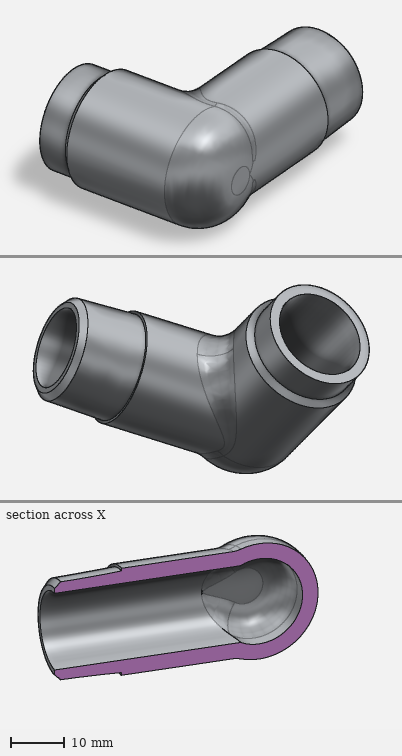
import cadquery as cq
import math


arm_diameter = 23.7
arm_length = 39.0
collar_diameter = 21.3
collar_length = 6.0
dome_edge_radius = 9.0

branch_diameter = 22.0
shoulder_y = 27.6
branch_end_y = 41.0
spigot_root_diameter = 20.9
spigot_taper = 1 / 16
spigot_chamfer = 1.2
crotch_radius = 5.0

arm_bore_diameter = 17.3
branch_bore_diameter = 15.59
floor_radius = 5.0

blend_end_x = 38.8
zone_span = 100.0
length_tolerance = 0.001
overlap = 0.5
fade_start_angle = math.radians(3)
fade_steps = 6

arm_radius = arm_diameter / 2
collar_radius = collar_diameter / 2
collar_chamfer = arm_radius - collar_radius
branch_radius = branch_diameter / 2
branch_x = arm_length - branch_radius
arm_bore_radius = arm_bore_diameter / 2
branch_bore_radius = branch_bore_diameter / 2
floor_x = branch_x + branch_bore_radius


def make_arm():
    """Collar, chamfer, barrel and domed end, revolved about the X axis."""
    dome_start = arm_length - dome_edge_radius
    flat_radius = arm_radius - dome_edge_radius
    return (
        cq.Workplane("XY")
        .lineTo(0, collar_radius)
        .lineTo(collar_length, collar_radius)
        .lineTo(collar_length + collar_chamfer, arm_radius)
        .lineTo(dome_start, arm_radius)
        .radiusArc((arm_length, flat_radius), dome_edge_radius)
        .lineTo(arm_length, 0)
        .close()
        .revolve(360, (0, 0, 0), (1, 0, 0))
    )


def make_branch():
    """Plain cylinder with a tapered, chamfered spigot, revolved about its axis along Y."""
    chamfer_y = branch_end_y - spigot_chamfer
    root_radius = spigot_root_diameter / 2
    chamfer_radius = root_radius - (chamfer_y - shoulder_y) * spigot_taper / 2
    return (
        cq.Workplane("XY", origin=(branch_x, 0, 0))
        .lineTo(branch_radius, 0)
        .lineTo(branch_radius, shoulder_y)
        .lineTo(root_radius, shoulder_y)
        .lineTo(chamfer_radius, chamfer_y)
        .lineTo(chamfer_radius - spigot_chamfer, branch_end_y)
        .lineTo(0, branch_end_y)
        .close()
        .revolve(360, (0, 0, 0), (0, 1, 0))
    )


def make_body():
    """Arm and branch joined, with their intersection blended by a constant-radius fillet.

    The branch is tangent to the flat of the dome, so the fillet fades out there.
    It is stopped just short of that point by splitting the body at blend_end_x.
    """
    sharp_body = make_arm().union(make_branch())
    blend_zone = cq.Workplane("XY").box(
        blend_end_x, zone_span, zone_span, centered=(False, True, True)
    )
    tip = sharp_body.cut(blend_zone)
    main = sharp_body.intersect(blend_zone).val()
    junction_edges = [
        edge
        for edge in main.Edges()
        if edge.geomType() == "BSPLINE" and edge.BoundingBox().xlen > length_tolerance
    ]
    return tip.union(cq.Workplane(main.fillet(crotch_radius, junction_edges)))


def floor_blend_profile(angle):
    """Corner material between the arm floor and the point where the arm bore meets the branch bore.

    The angle places that meeting point about the X axis, measured from the +Y direction.
    The arc is a section of a ball that rests on the floor and rolls along the edge between the bores,
    so the profile plane is parallel to the X axis and turned away from the radial direction.
    The profile runs past the floor and the wall so that it overlaps the body there.
    """
    wall_y = arm_bore_radius * math.cos(angle)
    wall_z = arm_bore_radius * math.sin(angle)
    branch_depth = math.sqrt(branch_bore_radius**2 - wall_z**2)
    height = branch_bore_radius - branch_depth
    height_slope = wall_y * wall_z / (branch_depth * arm_bore_radius)

    arc_turn = math.acos(1 - height / floor_radius)
    arc_width = floor_radius * math.sin(arc_turn)
    plane_turn = math.asin((floor_radius - height) * height_slope / arc_width)
    outward = angle + plane_turn
    profile_plane = cq.Plane(
        origin=(floor_x, wall_y, wall_z),
        xDir=(1, 0, 0),
        normal=(0, -math.sin(outward), math.cos(outward)),
    )
    arc_middle = (
        -floor_radius * (1 - math.cos(arc_turn / 2)),
        floor_radius * math.sin(arc_turn / 2) - arc_width,
    )
    return (
        cq.Workplane(profile_plane)
        .moveTo(0, -arc_width)
        .threePointArc(arc_middle, (-height, 0))
        .lineTo(-height, overlap)
        .lineTo(overlap, overlap)
        .lineTo(overlap, -arc_width)
        .close()
    )


def make_floor_blend():
    """Rounded corner of the arm floor, full height away from the branch and fading out towards it."""
    full_height_z = math.sqrt(branch_bore_radius**2 - (branch_bore_radius - floor_radius) ** 2)
    full_height_angle = math.asin(full_height_z / arm_bore_radius)
    sweep_degrees = 360 - 2 * math.degrees(full_height_angle)
    axis_start = (0, -arm_bore_radius)
    axis_end = (1, -arm_bore_radius)
    blend = floor_blend_profile(full_height_angle).revolve(sweep_degrees, axis_start, axis_end)
    angle_step = (full_height_angle - fade_start_angle) / fade_steps
    for side in (1, -1):
        wires = []
        for step in range(fade_steps + 1):
            angle = fade_start_angle + step * angle_step
            wires.append(floor_blend_profile(side * angle).val())
        blend = blend.union(cq.Workplane(cq.Solid.makeLoft(wires)))
    return blend


def make_cavity():
    """Blind arm bore with a rounded floor, joined to the through bore of the branch."""
    arm_bore = cq.Workplane("YZ").circle(arm_bore_radius).extrude(floor_x)
    branch_bore = (
        cq.Workplane("XZ", origin=(branch_x, 0, 0)).circle(branch_bore_radius).extrude(-branch_end_y)
    )
    return arm_bore.cut(make_floor_blend()).union(branch_bore)


result = cq.Workplane(make_body().cut(make_cavity()).solids().val())